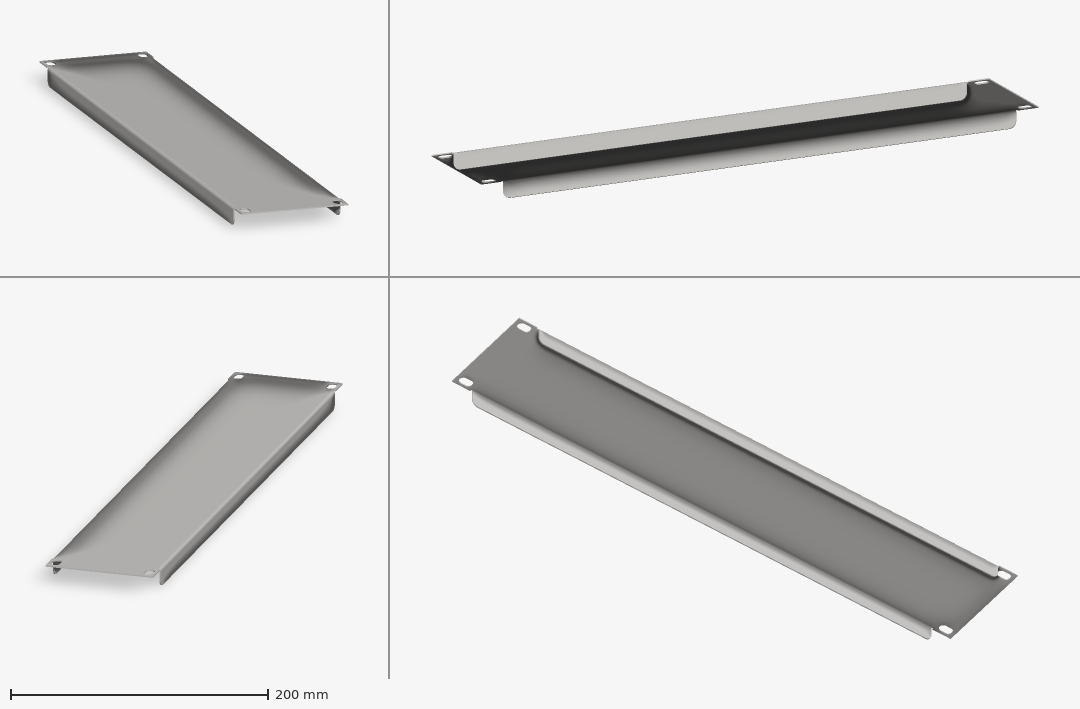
import cadquery as cq

length = 483.0
width = 88.0
height = 15.0
sheet = 1.0

bend_outer_radius = 2.5
bend_inner_radius = bend_outer_radius - sheet
flange_inset = 19.5
flange_length = length - 2 * flange_inset
flange_corner_radius = 6.0

relief_width = 1.7
relief_depth = 1.5

slot_length = 12.0
slot_width = 7.2
slot_spacing_x = 464.5
slot_spacing_y = 76.0


def folded_channel():
    """Return the U-shaped sheet between the panel ends, top face at Z = 0."""
    outer = (
        cq.Workplane("XY")
        .box(flange_length, width, height, centered=(True, True, False))
        .translate((0, 0, -height))
        .edges("|X and >Z")
        .fillet(bend_outer_radius)
    )
    cavity = (
        cq.Workplane("XY")
        .box(flange_length, width - 2 * sheet, height, centered=(True, True, False))
        .translate((0, 0, -height - sheet))
        .edges("|X and >Z")
        .fillet(bend_inner_radius)
    )
    return outer.cut(cavity).edges("|Y and <Z").fillet(flange_corner_radius)


def end_plate(side):
    """Return the flat plate beyond one end of the flanges, with its relief notches."""
    plate_width = width - 2 * relief_depth
    neck = (
        cq.Workplane("XY")
        .center(side * (length - flange_inset) / 2, 0)
        .rect(flange_inset, plate_width)
        .extrude(-sheet)
    )
    tab_length = flange_inset - relief_width
    tab = (
        cq.Workplane("XY")
        .center(side * (length - tab_length) / 2, 0)
        .rect(tab_length, width)
        .extrude(-sheet)
    )
    return neck.union(tab)


panel = folded_channel()
for side in (-1, 1):
    panel = panel.union(end_plate(side))

slots = (
    cq.Workplane("XY")
    .rect(slot_spacing_x, slot_spacing_y, forConstruction=True)
    .vertices()
    .slot2D(slot_length, slot_width)
    .extrude(-sheet)
)

result = panel.cut(slots)